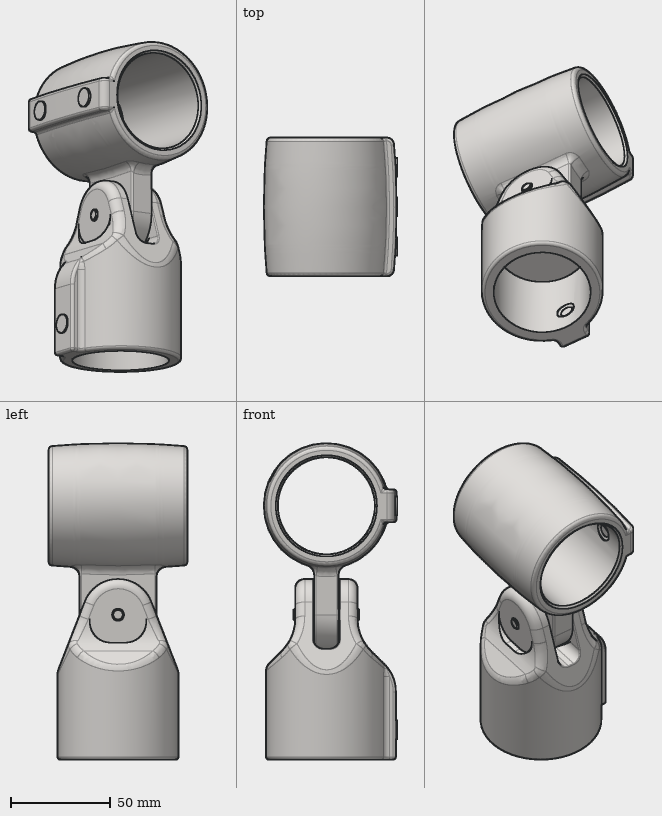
import cadquery as cq
import math

TOTAL_HEIGHT = 159.5
BORE_RADIUS = 24.4

BARREL_RADIUS = 31.5
BARREL_END_RADIUS = 30.0
BARREL_LENGTH = 70.0
BARREL_HALF_LENGTH = BARREL_LENGTH / 2
BARREL_END_FILLET = 2.0
BORE_EDGE_CHAMFER = 1.1
RING_CENTER_Z = TOTAL_HEIGHT - BARREL_RADIUS
RING_BOSS_REACH = 35.4
RING_BOSS_END_FILLET = 3.8
RING_BOSS_ROOT_FILLET = 1.6

BOSS_HALF_WIDTH = 8.3
BOSS_EDGE_FILLET = 1.6

PIVOT_Z = 73.0
TONGUE_HALF_THICKNESS = 6.2
TONGUE_RADIUS = 19.5
TONGUE_EDGE_FILLET = 1.0
TONGUE_ROOT_FILLET = 4.8

BASE_DIAMETER = 61.0
BASE_RADIUS = BASE_DIAMETER / 2
BASE_BOTTOM_FILLET = 1.6
BASE_BORE_DEPTH = 44.6
FORK_TIP_RADIUS = 18.0
FORK_TAPER = 21.3
FORK_HALF_THICKNESS = 15.8
FORK_EDGE_FILLET = 4.8
TAPER_FOOT_FILLET = 6.4
SHOULDER_SLOPE = 45.0
SHOULDER_TOP_Z = 70.8
SHOULDER_RADIUS = 22.3
POCKET_HALF_WIDTH = 14.2
POCKET_FLOOR_Z = 59.0
POCKET_CORNER_RADIUS = 10.4
BASE_BOSS_REACH = 35.0
BASE_BOSS_TOP_RADIUS = 19.1
BASE_BOSS_ROOT_FILLET = 3.2

SLOT_HALF_WIDTH = 6.5
SLOT_FLOOR_Z = 56.0
SLOT_CORNER_RADIUS = 5.0
SLOT_RIM_FILLET = 0.56
TONGUE_CLEARANCE = 0.6

PIN_RADIUS = 3.0
PIN_HALF_LENGTH = 16.6
PIN_END_CHAMFER = 0.6

SCREW_RADIUS = 4.8
SCREW_TIP_X = 24.4
SCREW_END_X = 35.7
SCREW_CUP_RADIUS = 3.2
SCREW_CUP_DEPTH = 0.8
RING_SCREW_Y = 20.0
BASE_SCREW_Z = 15.0
RING_SCREW_PLACES = [(-RING_SCREW_Y, RING_CENTER_Z), (RING_SCREW_Y, RING_CENTER_Z)]
BASE_SCREW_PLACES = [(0, BASE_SCREW_Z)]

FAR = 95.7
MARGIN = 0.2


def rod_along_x(radius, x_start, x_end, y, z):
    """A round rod along X."""
    return cq.Workplane("YZ", origin=(x_start, y, z)).circle(radius).extrude(x_end - x_start)


def screw_holes(places):
    """The through holes that the set screws fill, for a list of (y, z) places."""
    return cq.Workplane("YZ").pushPoints(places).circle(SCREW_RADIUS).extrude(FAR)


def barrel():
    """A bulging drum along Y."""
    profile = (
        cq.Workplane("XY")
        .moveTo(0, -BARREL_HALF_LENGTH)
        .lineTo(BARREL_END_RADIUS, -BARREL_HALF_LENGTH)
        .threePointArc((BARREL_RADIUS, 0), (BARREL_END_RADIUS, BARREL_HALF_LENGTH))
        .lineTo(0, BARREL_HALF_LENGTH)
        .close()
    )
    return profile.revolve(360, (0, 0, 0), (0, 1, 0)).translate((0, 0, RING_CENTER_Z))


def ring_boss():
    """The clamp boss, bulging like the barrel, with rounded ends and outer edges."""
    end_reach = RING_BOSS_REACH - (BARREL_RADIUS - BARREL_END_RADIUS)
    block = (
        cq.Workplane("XY", origin=(0, 0, RING_CENTER_Z - BOSS_HALF_WIDTH))
        .moveTo(BORE_RADIUS, -BARREL_HALF_LENGTH)
        .lineTo(end_reach, -BARREL_HALF_LENGTH)
        .threePointArc((RING_BOSS_REACH, 0), (end_reach, BARREL_HALF_LENGTH))
        .lineTo(BORE_RADIUS, BARREL_HALF_LENGTH)
        .close()
        .extrude(2 * BOSS_HALF_WIDTH)
    )
    block = block.faces(">X").edges("|Z").fillet(RING_BOSS_END_FILLET)
    return block.faces(">X").edges("not |Z").fillet(BOSS_EDGE_FILLET)


def tongue():
    """The flat blade below the barrel, rounded around the pivot."""
    top_z = RING_CENTER_Z - BORE_RADIUS
    blade = (
        cq.Workplane("YZ", origin=(-TONGUE_HALF_THICKNESS, 0, 0))
        .moveTo(TONGUE_RADIUS, top_z)
        .lineTo(TONGUE_RADIUS, PIVOT_Z)
        .threePointArc((0, PIVOT_Z - TONGUE_RADIUS), (-TONGUE_RADIUS, PIVOT_Z))
        .lineTo(-TONGUE_RADIUS, top_z)
        .close()
        .extrude(2 * TONGUE_HALF_THICKNESS)
    )
    return blade.faces("<X or >X").edges("not >Z").fillet(TONGUE_EDGE_FILLET)


def ring_bore():
    """The tube bore along Y, with chamfered mouths."""
    bore = (
        cq.Workplane("XZ", origin=(0, BARREL_HALF_LENGTH, RING_CENTER_Z))
        .circle(BORE_RADIUS)
        .extrude(2 * BARREL_HALF_LENGTH)
    )
    mouth_profile = (
        cq.Workplane("XY")
        .moveTo(0, -BARREL_HALF_LENGTH)
        .lineTo(BORE_RADIUS + BORE_EDGE_CHAMFER, -BARREL_HALF_LENGTH)
        .lineTo(BORE_RADIUS, BORE_EDGE_CHAMFER - BARREL_HALF_LENGTH)
        .lineTo(0, BORE_EDGE_CHAMFER - BARREL_HALF_LENGTH)
        .close()
    )
    mouth = mouth_profile.revolve(360, (0, 0, 0), (0, 1, 0)).translate((0, 0, RING_CENTER_Z))
    return bore.union(mouth).union(mouth.mirror("XZ"))


def make_ring():
    """Barrel, tongue and clamp boss in one, with the tube bore, the screw holes and the pin hole."""
    rounded_barrel = barrel().faces("<Y or >Y").edges().fillet(BARREL_END_FILLET)
    body = rounded_barrel.union(tongue())
    neck_joint = cq.selectors.BoxSelector(
        (-TONGUE_RADIUS, -TONGUE_RADIUS - MARGIN, RING_CENTER_Z - BARREL_RADIUS),
        (TONGUE_RADIUS, TONGUE_RADIUS + MARGIN, RING_CENTER_Z - BARREL_END_RADIUS),
    )
    body = body.edges(neck_joint).fillet(TONGUE_ROOT_FILLET)
    body = body.union(ring_boss())
    boss_joint = cq.selectors.BoxSelector(
        (BORE_RADIUS, -MARGIN, RING_CENTER_Z - BOSS_HALF_WIDTH - MARGIN),
        (BARREL_RADIUS, MARGIN, RING_CENTER_Z + BOSS_HALF_WIDTH + MARGIN),
    )
    body = body.edges(boss_joint).fillet(RING_BOSS_ROOT_FILLET)
    body = body.cut(ring_bore())
    body = body.cut(screw_holes(RING_SCREW_PLACES))
    return body.cut(rod_along_x(PIN_RADIUS, -FAR, FAR, 0, PIVOT_Z))


SLOPE = math.radians(SHOULDER_SLOPE)
SLOPE_TOP_X = FORK_HALF_THICKNESS + SHOULDER_RADIUS * (1 - math.sin(SLOPE))
SLOPE_TOP_Z = SHOULDER_TOP_Z - SHOULDER_RADIUS * math.cos(SLOPE)


def slope_z(x):
    """Height of the sloping shoulder at the distance x from the middle."""
    return SLOPE_TOP_Z - (x - SLOPE_TOP_X) * math.tan(SLOPE)


def taper_prism():
    """All that lies inside the tapered sides and the round fork tip, along X."""
    taper = math.radians(FORK_TAPER)
    tangent_y = FORK_TIP_RADIUS * math.cos(taper)
    tangent_z = PIVOT_Z + FORK_TIP_RADIUS * math.sin(taper)
    foot_y = tangent_y + tangent_z * math.tan(taper)
    return (
        cq.Workplane("YZ", origin=(-FAR, 0, 0))
        .moveTo(foot_y, 0)
        .lineTo(tangent_y, tangent_z)
        .threePointArc((0, PIVOT_Z + FORK_TIP_RADIUS), (-tangent_y, tangent_z))
        .lineTo(-foot_y, 0)
        .close()
        .extrude(2 * FAR)
    )


def shoulder_prism():
    """All that lies inside the fork sides, the hollow arcs and the slopes, along Y."""
    arc_mid_x = FORK_HALF_THICKNESS + SHOULDER_RADIUS * (1 - math.cos((math.pi / 2 - SLOPE) / 2))
    arc_mid_z = SHOULDER_TOP_Z - SHOULDER_RADIUS * math.sin((math.pi / 2 - SLOPE) / 2)
    foot_x = SLOPE_TOP_X + SLOPE_TOP_Z / math.tan(SLOPE)
    return (
        cq.Workplane("XZ", origin=(0, FAR, 0))
        .moveTo(foot_x, 0)
        .lineTo(SLOPE_TOP_X, SLOPE_TOP_Z)
        .threePointArc((arc_mid_x, arc_mid_z), (FORK_HALF_THICKNESS, SHOULDER_TOP_Z))
        .lineTo(FORK_HALF_THICKNESS, FAR)
        .lineTo(-FORK_HALF_THICKNESS, FAR)
        .lineTo(-FORK_HALF_THICKNESS, SHOULDER_TOP_Z)
        .threePointArc((-arc_mid_x, arc_mid_z), (-SLOPE_TOP_X, SLOPE_TOP_Z))
        .lineTo(-foot_x, 0)
        .close()
        .extrude(2 * FAR)
    )


def fork_blank():
    """The base cylinder cut to the fork outlines, with the cut edges rounded."""
    blank = cq.Workplane("XY").circle(BASE_RADIUS).extrude(FAR)
    blank = blank.intersect(taper_prism()).intersect(shoulder_prism())
    front_and_back = cq.selectors.BoxSelector(
        (-MARGIN, -FAR, BASE_BORE_DEPTH), (MARGIN, FAR, SLOT_FLOOR_Z)
    )
    blank = blank.edges(front_and_back).fillet(TAPER_FOOT_FILLET)
    left = cq.selectors.BoxSelector(
        (-FAR, -FAR, BASE_BORE_DEPTH), (-FORK_HALF_THICKNESS / 2, FAR, FAR)
    )
    right = cq.selectors.BoxSelector((FORK_HALF_THICKNESS / 2, -FAR, BASE_BORE_DEPTH), (FAR, FAR, FAR))
    return blank.edges(left + right).edges("not |Y").fillet(FORK_EDGE_FILLET)


def base_boss():
    """The clamp boss on +X; its top follows the slope and then rounds down."""
    arc_start_x = BASE_BOSS_REACH - BASE_BOSS_TOP_RADIUS * (1 - math.sin(SLOPE))
    arc_start_z = slope_z(arc_start_x)
    arc_center_x = BASE_BOSS_REACH - BASE_BOSS_TOP_RADIUS
    arc_center_z = arc_start_z - BASE_BOSS_TOP_RADIUS * math.cos(SLOPE)
    arc_mid_angle = (math.pi / 2 - SLOPE) / 2
    arc_mid_x = arc_center_x + BASE_BOSS_TOP_RADIUS * math.cos(arc_mid_angle)
    arc_mid_z = arc_center_z + BASE_BOSS_TOP_RADIUS * math.sin(arc_mid_angle)
    block = (
        cq.Workplane("XZ", origin=(0, BOSS_HALF_WIDTH, 0))
        .moveTo(BORE_RADIUS, 0)
        .lineTo(BASE_BOSS_REACH, 0)
        .lineTo(BASE_BOSS_REACH, arc_center_z)
        .threePointArc((arc_mid_x, arc_mid_z), (arc_start_x, arc_start_z))
        .lineTo(BORE_RADIUS, slope_z(BORE_RADIUS))
        .close()
        .extrude(2 * BOSS_HALF_WIDTH)
    )
    side_edges = block.faces("<Y or >Y").edges("not <Z").edges("not <X")
    return side_edges.fillet(BOSS_EDGE_FILLET)


def side_pocket():
    """Cutter that carries the flat -X fork side down into the hollow shoulder."""
    height = SHOULDER_TOP_Z - POCKET_FLOOR_Z + POCKET_CORNER_RADIUS
    return (
        cq.Workplane("YZ", origin=(-FAR, 0, POCKET_FLOOR_Z + height / 2))
        .rect(2 * POCKET_HALF_WIDTH, height)
        .extrude(FAR - FORK_HALF_THICKNESS)
        .edges("|X and <Z")
        .fillet(POCKET_CORNER_RADIUS)
    )


def fork_slot():
    """Cutter for the slot along Y."""
    slot_height = FAR - SLOT_FLOOR_Z
    return (
        cq.Workplane("XY", origin=(0, 0, SLOT_FLOOR_Z + slot_height / 2))
        .box(2 * SLOT_HALF_WIDTH, 2 * FAR, slot_height)
        .edges("|Y and <Z")
        .fillet(SLOT_CORNER_RADIUS)
    )


def floor_hollow():
    """Cutter for the round hollow in the slot floor that clears the tongue tip."""
    radius = TONGUE_RADIUS + TONGUE_CLEARANCE
    return rod_along_x(radius, -SLOT_HALF_WIDTH, SLOT_HALF_WIDTH, 0, PIVOT_Z)


def make_base():
    """Tube socket, clamp boss and fork in one."""
    body = fork_blank().union(base_boss())
    boss_joint = cq.selectors.BoxSelector(
        (BORE_RADIUS, -BOSS_HALF_WIDTH - MARGIN, 0),
        (BASE_RADIUS, BOSS_HALF_WIDTH + MARGIN, BASE_BORE_DEPTH),
    )
    body = body.edges(boss_joint).edges("|Z").fillet(BASE_BOSS_ROOT_FILLET)
    body = body.faces("<Z").edges().fillet(BASE_BOTTOM_FILLET)
    body = body.cut(cq.Workplane("XY").circle(BORE_RADIUS).extrude(BASE_BORE_DEPTH))
    pocket = side_pocket()
    body = body.cut(pocket).cut(pocket.mirror("YZ"))
    body = body.cut(fork_slot())
    slot_rim = cq.selectors.BoxSelector(
        (-SLOT_HALF_WIDTH - MARGIN, -FAR, SLOT_FLOOR_Z - MARGIN),
        (SLOT_HALF_WIDTH + MARGIN, FAR, FAR),
    )
    body = body.edges(slot_rim).edges("not |Y").fillet(SLOT_RIM_FILLET)
    body = body.cut(floor_hollow())
    body = body.cut(screw_holes(BASE_SCREW_PLACES))
    return body.cut(rod_along_x(PIN_RADIUS, -FAR, FAR, 0, PIVOT_Z))


def make_pin():
    """The pin along X that joins the fork and the tongue."""
    pin = rod_along_x(PIN_RADIUS, -PIN_HALF_LENGTH, PIN_HALF_LENGTH, 0, PIVOT_Z)
    return pin.faces("<X or >X").chamfer(PIN_END_CHAMFER)


def make_set_screw(y, z):
    """A screw along X whose inner tip is hollowed to a shallow cup."""
    profile = (
        cq.Workplane("XY")
        .moveTo(SCREW_TIP_X + SCREW_CUP_DEPTH, 0)
        .lineTo(SCREW_TIP_X + SCREW_CUP_DEPTH, SCREW_CUP_RADIUS)
        .lineTo(SCREW_TIP_X, SCREW_RADIUS)
        .lineTo(SCREW_END_X, SCREW_RADIUS)
        .lineTo(SCREW_END_X, 0)
        .close()
    )
    return profile.revolve(360, (0, 0, 0), (1, 0, 0)).translate((0, y, z))


ring = make_ring()
base = make_base()
pin = make_pin()
set_screws = [make_set_screw(y, z) for y, z in RING_SCREW_PLACES + BASE_SCREW_PLACES]

result = cq.Compound.makeCompound(
    [ring.val(), base.val(), pin.val(), *[screw.val() for screw in set_screws]]
)